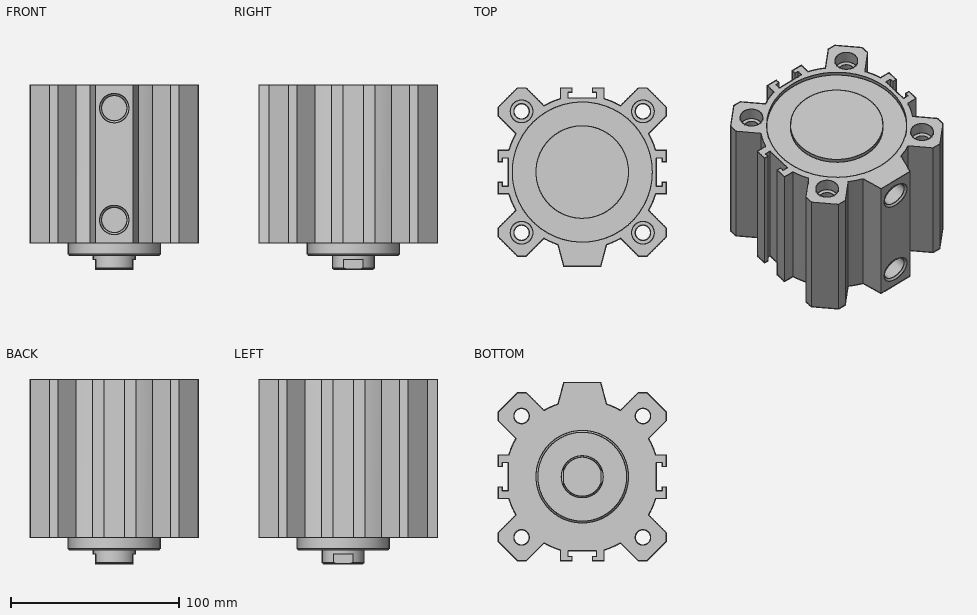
import cadquery as cq
import math

square_size = 100.0
half_square = square_size / 2
total_depth = 106.0
port_face_reach = total_depth - half_square
housing_height = 94.0
total_height = 109.5

barrel_diameter = 91.0
lug_width = 23.5
lug_reach = 62.5
bolt_offset = 36.0
bolt_diameter = 9.0
counterbore_diameter = 13.5
counterbore_depth = 8.5

rail_width = 26.0
slot_mouth_width = 12.0
slot_inner_width = 16.6
slot_lip = 2.6
slot_depth = 5.9

port_face_width = 22.0
port_block_taper = 15.0
port_diameter = 15.0
port_depth = 14.2
port_chamfer = 1.2
port_end_distance = 13.8

recess_diameter = 83.2
recess_depth = 2.5
boss_diameter = 55.0
boss_height = 7.5
boss_chamfer = 1.1

rod_diameter = 25.0
rod_tip_z = housing_height - total_height
rod_chamfer = 0.9
flats_width = 22.0
flats_length = 5.8


def make_lugs():
    """Four diagonal lugs, cut off at their tips and along the square outline."""
    lugs = cq.Workplane("XY")
    for angle in (45, 135):
        bar = cq.Workplane("XY").rect(2 * lug_reach, lug_width).extrude(housing_height)
        lugs = lugs.add(bar.rotate((0, 0, 0), (0, 0, 1), angle))
    square = cq.Workplane("XY").rect(square_size, square_size).extrude(housing_height)
    return lugs.combine().intersect(square)


def make_rail():
    """Rail on the +Y side, before its slot is cut."""
    return (
        cq.Workplane("XY")
        .center(0, half_square / 2)
        .rect(rail_width, half_square)
        .extrude(housing_height)
    )


def make_t_slot():
    """Cutter for the T-slot of the +Y rail."""
    mouth = (
        cq.Workplane("XY")
        .center(0, half_square - slot_depth / 2)
        .rect(slot_mouth_width, slot_depth)
        .extrude(housing_height)
    )
    undercut_height = slot_depth - slot_lip
    undercut = (
        cq.Workplane("XY")
        .center(0, half_square - slot_lip - undercut_height / 2)
        .rect(slot_inner_width, undercut_height)
        .extrude(housing_height)
    )
    return mouth.union(undercut)


def make_port_block():
    """Block that widens from the port face towards the axis, ending inside the barrel."""
    root_y = -barrel_diameter / 2 + slot_depth
    face_half = port_face_width / 2
    root_half = face_half + (port_face_reach + root_y) * math.tan(math.radians(port_block_taper))
    return (
        cq.Workplane("XY")
        .polyline([
            (-face_half, -port_face_reach),
            (face_half, -port_face_reach),
            (root_half, root_y),
            (-root_half, root_y),
        ])
        .close()
        .extrude(housing_height)
    )


def make_port(z):
    """Cutter for a blind port with a chamfered mouth."""
    radius = port_diameter / 2
    floor_y = -port_face_reach + port_depth
    return (
        cq.Workplane("XY")
        .polyline([
            (0, -port_face_reach),
            (radius + port_chamfer, -port_face_reach),
            (radius, -port_face_reach + port_chamfer),
            (radius, floor_y),
            (0, floor_y),
        ])
        .close()
        .revolve(360, (0, 0, 0), (0, 1, 0))
        .translate((0, 0, z))
    )


def make_top_recess():
    """Ring-shaped cutter that leaves a central disc flush with the top."""
    return (
        cq.Workplane("XY")
        .workplane(offset=housing_height - recess_depth)
        .circle(recess_diameter / 2)
        .circle(boss_diameter / 2)
        .extrude(recess_depth)
    )


def make_boss():
    """Round boss under the housing, chamfered at its lower edge."""
    return (
        cq.Workplane("XY")
        .circle(boss_diameter / 2)
        .extrude(-boss_height)
        .faces("<Z")
        .chamfer(boss_chamfer)
    )


def make_housing():
    """Housing with its lugs, slotted rails, ports, end recess and rod boss."""
    housing = cq.Workplane("XY").circle(barrel_diameter / 2).extrude(housing_height)
    housing = housing.union(make_lugs()).union(make_port_block()).union(make_boss())

    for angle in (-90, 0, 90):
        housing = housing.union(make_rail().rotate((0, 0, 0), (0, 0, 1), angle))
        housing = housing.cut(make_t_slot().rotate((0, 0, 0), (0, 0, 1), angle))

    housing = housing.cut(make_top_recess())
    for z in (port_end_distance, housing_height - port_end_distance):
        housing = housing.cut(make_port(z))

    housing = (
        housing.faces(">Z")
        .workplane(origin=(0, 0, housing_height))
        .rect(2 * bolt_offset, 2 * bolt_offset, forConstruction=True)
        .vertices()
        .cboreHole(bolt_diameter, counterbore_diameter, counterbore_depth)
    )

    rod_hole = cq.Workplane("XY").circle(rod_diameter / 2).extrude(-boss_height)
    return housing.cut(rod_hole)


def make_rod():
    """Rod with a chamfered tip and two wrench flats facing -X and +X."""
    rod = (
        cq.Workplane("XY")
        .circle(rod_diameter / 2)
        .extrude(rod_tip_z)
        .faces("<Z")
        .chamfer(rod_chamfer)
    )
    flats = (
        cq.Workplane("XY")
        .workplane(offset=rod_tip_z)
        .rect(2 * rod_diameter, 2 * rod_diameter)
        .rect(flats_width, 2 * rod_diameter)
        .extrude(flats_length)
    )
    return rod.cut(flats)


housing = make_housing()
rod = make_rod()

result = cq.Compound.makeCompound([*housing.solids().vals(), *rod.solids().vals()])